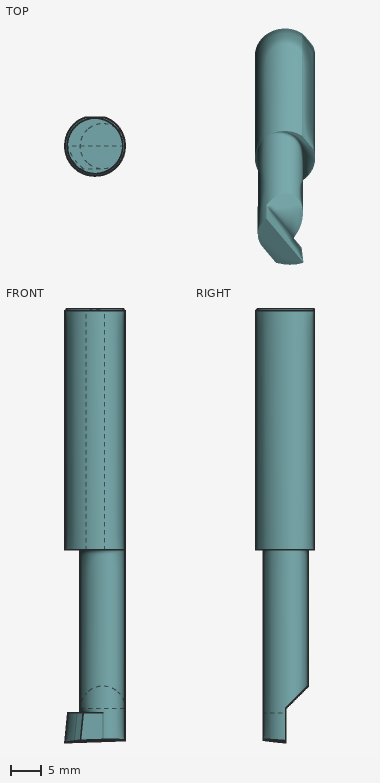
import cadquery as cq
import math

total_length = 72.0
shank_length = 40.0
shank_start = total_length - shank_length

shank_radius = 5.0
shank_flat_y = 4.75
shank_chamfer = 0.4

neck_radius = 3.75
neck_x = shank_radius - neck_radius

runout_start = 5.7
runout_angle = 45.0

head_height = 5.0
tip_x = -shank_radius
flank_corner = (-3.5, -2.75)
flank_bulge = 0.2
heel_corner = (-2.45, -neck_radius)
side_lean = 0.5
end_relief_x = 2.0
end_relief_y = 5.0


def make_shank():
    shank = (
        cq.Workplane("XY")
        .workplane(offset=shank_start)
        .circle(shank_radius)
        .extrude(shank_length)
        .faces(">Z")
        .chamfer(shank_chamfer)
    )
    diameter = 2 * shank_radius
    flat_cutter = cq.Workplane("XY").box(
        diameter, diameter, shank_length, centered=(True, False, False)
    ).translate((0, shank_flat_y, shank_start))
    return shank.cut(flat_cutter)


def make_neck():
    neck = cq.Workplane("XY").center(neck_x, 0).circle(neck_radius).extrude(shank_start)
    cut_depth = 2 * neck_radius
    runout_rise = cut_depth * math.tan(math.radians(runout_angle))
    rake_cutter = (
        cq.Workplane("YZ")
        .moveTo(0, 0)
        .lineTo(cut_depth, 0)
        .lineTo(cut_depth, runout_start + runout_rise)
        .lineTo(0, runout_start)
        .close()
        .extrude(2 * shank_radius, both=True)
    )
    return neck.cut(rake_cutter)


def make_head():
    """Head prism whose side flank leans outward towards the tip."""
    tip = (tip_x, 0)
    chord_x = flank_corner[0] - tip_x
    chord_y = flank_corner[1]
    chord = math.hypot(chord_x, chord_y)
    flank_middle = (
        tip_x + chord_x / 2 + flank_bulge * chord_y / chord,
        chord_y / 2 - flank_bulge * chord_x / chord,
    )
    outline = (
        cq.Workplane("XY")
        .moveTo(*tip)
        .threePointArc(flank_middle, flank_corner)
        .lineTo(*heel_corner)
        .lineTo(neck_x, -neck_radius)
        .lineTo(neck_x, 0)
        .close()
        .val()
    )
    leaning_prism = cq.Solid.extrudeLinear(outline, [], cq.Vector(side_lean, 0, head_height))
    left_of_neck_axis = cq.Workplane("XY").box(
        2 * shank_radius, 2 * shank_radius, head_height, centered=(False, True, False)
    ).translate((neck_x - 2 * shank_radius, 0, 0))
    return left_of_neck_axis.intersect(cq.Workplane(leaning_prism))


def make_end_relief_cutter():
    """Space below the end face, which rises from the tip towards +X and -Y."""
    slope_x = math.tan(math.radians(end_relief_x))
    slope_y = math.tan(math.radians(end_relief_y))
    end_plane = cq.Plane(origin=(tip_x, 0, 0), xDir=(1, 0, slope_x), normal=(-slope_x, slope_y, 1))
    cutter_size = 4 * shank_radius
    return cq.Workplane(end_plane).rect(2 * cutter_size, 2 * cutter_size).extrude(-cutter_size)


result = make_shank().union(make_neck()).union(make_head()).cut(make_end_relief_cutter())